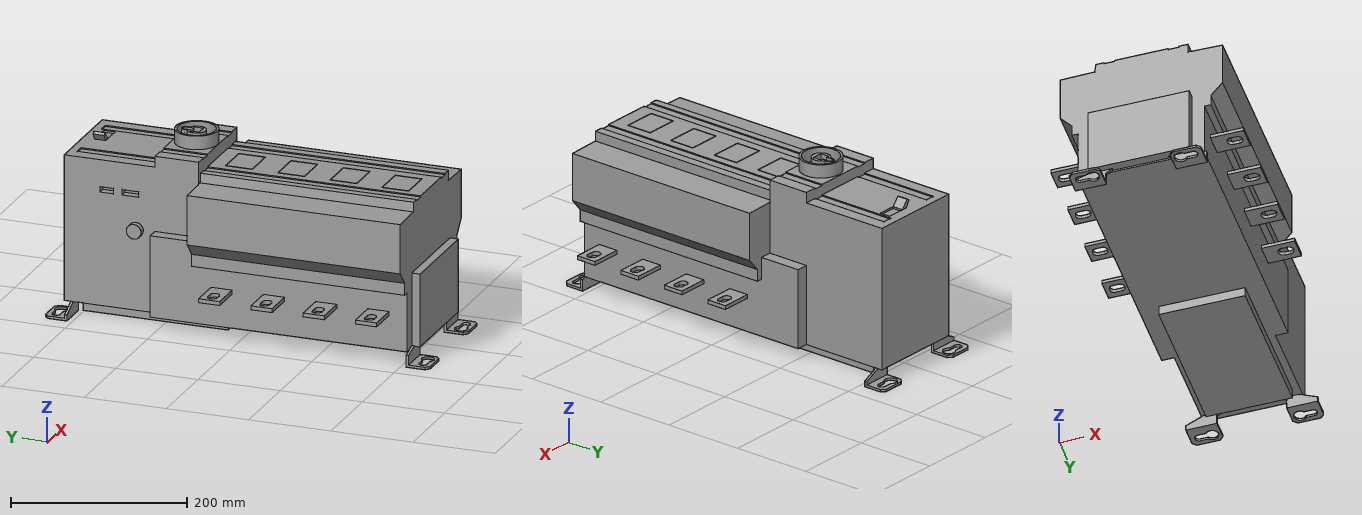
import cadquery as cq


TOTAL_WIDTH = 230.0
TOTAL_LENGTH = 468.0
TOTAL_HEIGHT = 223.5

BODY_BOTTOM = 17.5
SKIRT_TOP = 116.0
HOUSING_TOP = 194.0
RAISED_TOP = 207.5
COVER_TOP = 192.0

BODY_FRONT = -206.5
HOUSING_BACK = 216.5
RAISED_BACK = 106.2
POLE_BACK = 53.0

POLE_HALF = 97.0
RIB_HALF = 83.0
SKIRT_HALF = 75.5
HOUSING_HALF = 60.5

RIB_BOTTOM = 89.0
RIB_TOP = 103.5
POLE_SIDE_BOTTOM = 120.0
SHOULDER_LEVEL = 179.5
SHOULDER_RISE = 1.0
COVER_HALF = 55.5
COVER_LEAN = 1.5

GROOVE_OFFSET = 38.5
GROOVE_WIDTH = 12.5
GROOVE_DEPTH = 1.5
GROOVE_BACK = 207.0

POLE_COUNT = 4
POLE_PITCH = 63.5
LAST_POLE_Y = 19.0
TERMINAL_WIDTH = 25.7
TERMINAL_BOTTOM = 59.0
TERMINAL_THICKNESS = 4.5
TERMINAL_ROOT = 4.5
TERMINAL_SLOT_LENGTH = 18.3
TERMINAL_SLOT_WIDTH = 11.0
TERMINAL_SLOT_EDGE = 5.0
WINDOW_WIDTH = 41.5
WINDOW_LENGTH = 32.5
WINDOW_DEPTH = 0.5
FRONT_WINDOW_SHIFT = -1.5

END_PLATE_THICKNESS = 10.5
END_PLATE_BOTTOM = 19.5
END_PLATE_TOP = 108.0
BOTTOM_PLATE_HALF = 51.5
BOTTOM_PLATE_LEVEL = 4.5
BOTTOM_PLATE_FRONT = 20.5
BOTTOM_PLATE_BACK = 197.0

FOOT_THICKNESS = 3.05
FOOT_OUTER_X = 78.5
FOOT_INNER_X = 41.5
FOOT_CORNER = 4.5
FOOT_SHOULDER = 14.5
FOOT_LEAN = 18.3
REAR_FOOT_SHOULDER = 7.0
REAR_FOOT_LEAN = 28.0
FOOT_NECK_LEAN = 9.0
FOOT_TOP = 20.0
KEYHOLE_END_GAP = 10.8
KEYHOLE_RADIUS = 7.5
KEYHOLE_X = 52.5
KEYHOLE_SLOT_RADIUS = 4.5
KEYHOLE_SLOT_X = 68.5

KNOB_Y = 78.5
KNOB_RADIUS = 25.5
KNOB_BORE_RADIUS = 22.5
HUB_RADIUS = 11.0
HUB_GAP = 1.5
SOCKET_WIDTH = 13.5
SOCKET_LENGTH = 11.0
POINTER_WIDTH = 10.0
POINTER_SLOT_WIDTH = 6.5
POINTER_SLOT_DEPTH = 4.5
POINTER_REACH = 13.0

LATCH_FRONT = 189.0
LATCH_BACK = 202.5
LATCH_HINGE_X = 6.0
LATCH_POCKET_END_X = 29.0
LATCH_POCKET_DEPTH = 2.5
FLAP_REACH = 9.0
FLAP_HEIGHT = 10.5
FLAP_EDGE_X = 3.05
FLAP_EDGE_Z = 2.5
FLAP_ROOT_WIDTH = 7.0
SIDE_SLOTS = [(157.0, 173.0), (126.0, 146.5)]
SIDE_SLOT_BOTTOM = 155.0
SIDE_SLOT_TOP = 161.5
SIDE_SLOT_DEPTH = 9.5
BUTTON_Y = 129.0
BUTTON_Z = 115.0
BUTTON_RADIUS = 9.0
BUTTON_HEIGHT = 7.5


def block(x_range, y_range, z_range):
    """Box between the given ends along each axis."""
    size = [end - start for start, end in (x_range, y_range, z_range)]
    corner = (x_range[0], y_range[0], z_range[0])
    return cq.Workplane("XY").box(*size, centered=False).translate(corner)


def centred_block(half_width, y_range, z_range):
    """Box spread evenly about X = 0."""
    return block((-half_width, half_width), y_range, z_range)


def cylinder(x, y, bottom, top, radius):
    """Upright cylinder."""
    return cq.Workplane("XY", origin=(x, y, bottom)).circle(radius).extrude(top - bottom)


def extrude_along_y(points, front, back):
    """Closed XZ outline carried from front to back."""
    plane = cq.Workplane("XZ", origin=(0, back, 0))
    return plane.polyline(points).close().extrude(back - front)


def make_pole_block():
    """Overhanging upper part of the poles with its cover step."""
    outline = [
        (-SKIRT_HALF, RIB_BOTTOM),
        (-RIB_HALF, RIB_BOTTOM),
        (-RIB_HALF, RIB_TOP),
        (-POLE_HALF, POLE_SIDE_BOTTOM),
        (-POLE_HALF, SHOULDER_LEVEL),
        (-COVER_HALF, SHOULDER_LEVEL + SHOULDER_RISE),
        (-COVER_HALF + COVER_LEAN, COVER_TOP),
        (COVER_HALF, COVER_TOP),
        (COVER_HALF, SHOULDER_LEVEL),
        (POLE_HALF, SHOULDER_LEVEL - SHOULDER_RISE),
        (POLE_HALF, POLE_SIDE_BOTTOM),
        (RIB_HALF, RIB_TOP),
        (RIB_HALF, RIB_BOTTOM),
        (SKIRT_HALF, RIB_BOTTOM),
    ]
    return extrude_along_y(outline, BODY_FRONT, POLE_BACK)


def make_body():
    """Pole block, skirt, motor housing and the plates fixed to them."""
    skirt = centred_block(SKIRT_HALF, (BODY_FRONT, RAISED_BACK), (BODY_BOTTOM, SKIRT_TOP))
    housing = centred_block(HOUSING_HALF, (POLE_BACK, HOUSING_BACK), (BODY_BOTTOM, HOUSING_TOP))
    raised = centred_block(HOUSING_HALF, (POLE_BACK, RAISED_BACK), (BODY_BOTTOM, RAISED_TOP))
    end_plate = centred_block(
        HOUSING_HALF,
        (BODY_FRONT - END_PLATE_THICKNESS, BODY_FRONT),
        (END_PLATE_BOTTOM, END_PLATE_TOP),
    )
    bottom_plate = centred_block(
        BOTTOM_PLATE_HALF,
        (BOTTOM_PLATE_FRONT, BOTTOM_PLATE_BACK),
        (BOTTOM_PLATE_LEVEL, BODY_BOTTOM),
    )
    body = make_pole_block()
    for piece in (skirt, housing, raised, end_plate, bottom_plate):
        body = body.union(piece)
    return body


def make_groove_cutters():
    """Shallow strips along the top, one length for each top level."""
    stretches = [
        (BODY_FRONT, POLE_BACK, COVER_TOP),
        (POLE_BACK, RAISED_BACK, RAISED_TOP),
        (RAISED_BACK, GROOVE_BACK, HOUSING_TOP),
    ]
    cutters = []
    for x in (-GROOVE_OFFSET, GROOVE_OFFSET):
        x_range = (x - GROOVE_WIDTH / 2, x + GROOVE_WIDTH / 2)
        for front, back, top in stretches:
            cutters.append(block(x_range, (front, back), (top - GROOVE_DEPTH, top)))
    return cutters


def make_window_cutter(x, y):
    """Shallow label window in the cover."""
    return block(
        (x - WINDOW_WIDTH / 2, x + WINDOW_WIDTH / 2),
        (y - WINDOW_LENGTH / 2, y + WINDOW_LENGTH / 2),
        (COVER_TOP - WINDOW_DEPTH, COVER_TOP),
    )


def make_terminal(y):
    """Flat slotted bar on the +X side, rooted in the skirt."""
    tip = TOTAL_WIDTH / 2
    top = TERMINAL_BOTTOM + TERMINAL_THICKNESS
    bar = block(
        (SKIRT_HALF - TERMINAL_ROOT, tip),
        (y - TERMINAL_WIDTH / 2, y + TERMINAL_WIDTH / 2),
        (TERMINAL_BOTTOM, top),
    )
    slot_x = tip - TERMINAL_SLOT_EDGE - TERMINAL_SLOT_LENGTH / 2
    slot = (
        cq.Workplane("XY", origin=(slot_x, y, TERMINAL_BOTTOM))
        .slot2D(TERMINAL_SLOT_LENGTH, TERMINAL_SLOT_WIDTH)
        .extrude(TERMINAL_THICKNESS)
    )
    return bar.cut(slot)


def make_foot(shoulder, lean):
    """Angle foot at the +X, -Y corner: keyhole sole and upright with a sloping outer shoulder."""
    end = -TOTAL_LENGTH / 2
    sole = block((FOOT_INNER_X, FOOT_OUTER_X), (end, BODY_FRONT), (0, FOOT_THICKNESS))
    sole = sole.edges("|Z and <Y").chamfer(FOOT_CORNER)
    upright_outline = [
        (FOOT_INNER_X, 0),
        (FOOT_OUTER_X, 0),
        (FOOT_OUTER_X, shoulder),
        (FOOT_OUTER_X - lean, FOOT_TOP),
        (FOOT_INNER_X - FOOT_NECK_LEAN, FOOT_TOP),
        (FOOT_INNER_X, FOOT_SHOULDER),
    ]
    upright = extrude_along_y(upright_outline, BODY_FRONT - FOOT_THICKNESS, BODY_FRONT)

    keyhole_y = end + KEYHOLE_END_GAP
    keyhole = cylinder(KEYHOLE_X, keyhole_y, 0, FOOT_THICKNESS, KEYHOLE_RADIUS)
    slot_end = cylinder(KEYHOLE_SLOT_X, keyhole_y, 0, FOOT_THICKNESS, KEYHOLE_SLOT_RADIUS)
    slot = block(
        (KEYHOLE_X, KEYHOLE_SLOT_X),
        (keyhole_y - KEYHOLE_SLOT_RADIUS, keyhole_y + KEYHOLE_SLOT_RADIUS),
        (0, FOOT_THICKNESS),
    )
    return sole.union(upright).cut(keyhole.union(slot_end).union(slot))


def make_knob():
    """Collar around a hub that has a rectangular socket and a slotted pointer arm."""
    hub_top = TOTAL_HEIGHT - HUB_GAP
    head_y = KNOB_Y + POINTER_REACH
    collar = cylinder(0, KNOB_Y, RAISED_TOP, TOTAL_HEIGHT, KNOB_RADIUS)
    collar = collar.cut(cylinder(0, KNOB_Y, RAISED_TOP, TOTAL_HEIGHT, KNOB_BORE_RADIUS))

    def round_ended_arm(width, bottom):
        """Upright bar from the hub axis to the pointer head."""
        bar = centred_block(width / 2, (KNOB_Y, head_y), (bottom, hub_top))
        return bar.union(cylinder(0, head_y, bottom, hub_top, width / 2))

    hub = cylinder(0, KNOB_Y, RAISED_TOP, hub_top, HUB_RADIUS)
    socket = centred_block(
        SOCKET_WIDTH / 2,
        (KNOB_Y - SOCKET_LENGTH / 2, KNOB_Y + SOCKET_LENGTH / 2),
        (RAISED_TOP, hub_top),
    )
    hub = hub.union(round_ended_arm(POINTER_WIDTH, RAISED_TOP))
    slot = round_ended_arm(POINTER_SLOT_WIDTH, hub_top - POINTER_SLOT_DEPTH)
    hub = hub.cut(slot).cut(socket)
    return collar.union(hub)


def make_latch_pocket():
    """Pocket in the housing top that the flap uncovers."""
    return block(
        (LATCH_HINGE_X, LATCH_POCKET_END_X),
        (LATCH_FRONT, LATCH_BACK),
        (HOUSING_TOP - LATCH_POCKET_DEPTH, HOUSING_TOP),
    )


def make_latch_flap():
    """Open flap leaning away from the pocket, widest at its root."""
    tip_x = LATCH_HINGE_X - FLAP_REACH
    tip_z = HOUSING_TOP + FLAP_HEIGHT
    outline = [
        (LATCH_HINGE_X, HOUSING_TOP),
        (tip_x, tip_z),
        (tip_x - FLAP_EDGE_X, tip_z - FLAP_EDGE_Z),
        (LATCH_HINGE_X - FLAP_ROOT_WIDTH, HOUSING_TOP),
    ]
    return extrude_along_y(outline, LATCH_FRONT, LATCH_BACK)


def make_side_slot(front, back):
    """Slot in the -X wall of the motor housing."""
    return block(
        (-HOUSING_HALF, -HOUSING_HALF + SIDE_SLOT_DEPTH),
        (front, back),
        (SIDE_SLOT_BOTTOM, SIDE_SLOT_TOP),
    )


def make_button():
    """Round button on the -X wall of the motor housing."""
    plane = cq.Workplane("YZ", origin=(-HOUSING_HALF, BUTTON_Y, BUTTON_Z))
    return plane.circle(BUTTON_RADIUS).extrude(-BUTTON_HEIGHT)


result = make_body()

for groove in make_groove_cutters():
    result = result.cut(groove)

for pole in range(POLE_COUNT):
    pole_y = LAST_POLE_Y - pole * POLE_PITCH
    window_x = FRONT_WINDOW_SHIFT if pole == POLE_COUNT - 1 else 0
    terminal = make_terminal(pole_y)
    result = result.cut(make_window_cutter(window_x, pole_y))
    result = result.union(terminal).union(terminal.mirror("YZ"))

front_foot = make_foot(FOOT_SHOULDER, FOOT_LEAN)
rear_foot = make_foot(REAR_FOOT_SHOULDER, REAR_FOOT_LEAN).mirror("XZ")
for foot in (front_foot, rear_foot):
    result = result.union(foot).union(foot.mirror("YZ"))

for slot_front, slot_back in SIDE_SLOTS:
    result = result.cut(make_side_slot(slot_front, slot_back))

result = result.cut(make_latch_pocket()).union(make_latch_flap())
result = result.union(make_button()).union(make_knob())